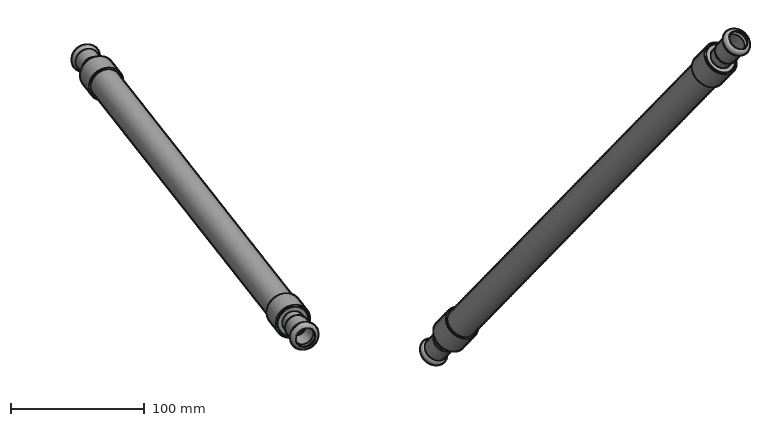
import cadquery as cq

TOTAL_LENGTH = 500.0
WALL = 1.5

BEAD_LENGTH = 6.5
SOCKET_END = 20.5
NECK_START = 22.0
HOSE_START = 29.0
COLLAR_LENGTH = 20.5

BORE_RADIUS = 14.0 / 2
SOCKET_RADIUS = 15.5 / 2
NECK_RADIUS = BORE_RADIUS + WALL
SLEEVE_RADIUS = SOCKET_RADIUS + WALL
MOUTH_RADIUS = 17.0 / 2
BEAD_RADIUS = 22.5 / 2
HOSE_RADIUS = 24.0 / 2
COLLAR_BORE_RADIUS = 24.5 / 2
COLLAR_RADIUS = 27.5 / 2

END_X = TOTAL_LENGTH / 2
HOSE_END_X = END_X - HOSE_START


def make_end_fitting():
    """Left press fitting, revolved: grooved bead, socket, taper and neck."""
    profile = (
        cq.Workplane("XY")
        .moveTo(0, SOCKET_RADIUS)
        .lineTo(0, MOUTH_RADIUS)
        .threePointArc((BEAD_LENGTH / 2, BEAD_RADIUS), (BEAD_LENGTH, SLEEVE_RADIUS))
        .lineTo(SOCKET_END, SLEEVE_RADIUS)
        .lineTo(NECK_START, NECK_RADIUS)
        .lineTo(HOSE_START, NECK_RADIUS)
        .lineTo(HOSE_START, BORE_RADIUS)
        .lineTo(NECK_START, BORE_RADIUS)
        .lineTo(SOCKET_END, SOCKET_RADIUS)
        .lineTo(BEAD_LENGTH - WALL, SOCKET_RADIUS)
        .threePointArc((BEAD_LENGTH / 2, BEAD_RADIUS - WALL), (WALL, SOCKET_RADIUS))
        .close()
    )
    fitting = profile.revolve(360, (0, 0, 0), (1, 0, 0))
    return fitting.translate((-END_X, 0, 0))


def make_hose():
    """Straight hose with a press fitting at each end, as one body."""
    hose = (
        cq.Workplane("YZ")
        .workplane(offset=-HOSE_END_X)
        .circle(HOSE_RADIUS)
        .circle(BORE_RADIUS)
        .extrude(2 * HOSE_END_X)
    )
    left_fitting = make_end_fitting()
    right_fitting = left_fitting.mirror("YZ")
    return hose.union(left_fitting).union(right_fitting)


def make_collar(start_x):
    """Plain ring around one hose end, with a small clearance to the hose."""
    return (
        cq.Workplane("YZ")
        .workplane(offset=start_x)
        .circle(COLLAR_RADIUS)
        .circle(COLLAR_BORE_RADIUS)
        .extrude(COLLAR_LENGTH)
    )


hose = make_hose()

collars = []
for start_x in (-HOSE_END_X, HOSE_END_X - COLLAR_LENGTH):
    collars.append(make_collar(start_x))

result = cq.Compound.makeCompound([hose.val(), *[collar.val() for collar in collars]])